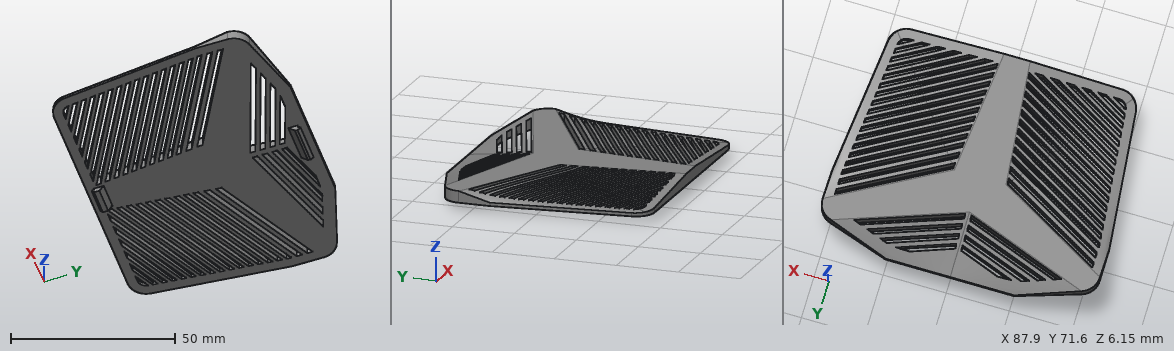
import cadquery as cq
import math

width = 87.9
depth = 71.6
total_height = 6.15
half_width = width / 2
half_depth = depth / 2
crown_height = 3.8
rim_height = 1.1
corner_radius = 6.0

rear_edge_half = 20.4
rear_corner_y = 28.1
side_bend_y = 13.6
front_half = 38.8

spine_front_half = 4.1
fork_x = 8.2
fork_y = 3.6
arm_side_y = 23.6
rear_fork_y = 15.1

spine_gap = 0.5
border = 3.2
rear_border = 4.0
ridge_gap = 1.0
wide_slot = 1.5
wide_pitch = 3.0
narrow_slot = 1.2
narrow_span = 36.65
wide_side_count = 2
narrow_side_count = 16
narrow_pitch = narrow_span / (narrow_side_count - 1)
rear_count = 4

hook_half = 6.0
hook_depth = total_height - crown_height
hook_root_rear_y = 33.0
hook_root_front_y = 30.0
hook_root_height = 0.4
hook_tip_y = 33.9
hook_tip_drop = 1.4
hook_toe_y = 32.1
hook_toe_drop = 2.1

clip_half = 4.0
clip_depth = 1.85
clip_front_y = -33.4
clip_root_y = -30.2
clip_foot_y = -31.6
snap_reach = 0.7
snap_top_drop = 0.3
snap_bottom_drop = 1.7

rear_slope = math.atan2(half_depth - rear_corner_y, half_width - rear_edge_half)
rear_tangent = corner_radius * math.tan((math.pi / 2 - rear_slope) / 2)
arm_rear_x = half_width - rear_tangent * math.cos(rear_slope)
arm_rear_y = rear_corner_y + rear_tangent * math.sin(rear_slope)


def mirrored(shape):
    """Left-hand twin of a right-hand shape."""
    return shape.mirror("YZ")


def prism(outline):
    """Full-height prism standing on the cover's underside."""
    return cq.Workplane("XY").polyline(outline).close().extrude(crown_height)


def line_offset(start, end, distance):
    """Move the line start-end sideways, to its left when distance is positive."""
    length = math.dist(start, end)
    nx = -(end[1] - start[1]) / length
    ny = (end[0] - start[0]) / length
    shift = (nx * distance, ny * distance)
    return tuple((p[0] + shift[0], p[1] + shift[1]) for p in (start, end))


def crossing(line_a, line_b):
    """Intersection point of two infinite lines."""
    (ax, ay), (bx, by) = line_a
    (cx, cy), (dx, dy) = line_b
    ux, uy = bx - ax, by - ay
    vx, vy = dx - cx, dy - cy
    t = ((cx - ax) * vy - (cy - ay) * vx) / (ux * vy - uy * vx)
    return (ax + t * ux, ay + t * uy)


def inset_polygon(corners, insets):
    """Counter-clockwise polygon with every edge moved inwards by its own inset."""
    count = len(corners)
    lines = [line_offset(corners[i], corners[(i + 1) % count], insets[i]) for i in range(count)]
    return [crossing(lines[i - 1], lines[i]) for i in range(count)]


rear_end = (rear_edge_half, half_depth)
rear_corner = (half_width, rear_corner_y)
side_bend = (half_width, side_bend_y)
front_corner = (front_half, -half_depth)
fork = (fork_x, fork_y)
arm_side = (half_width, arm_side_y)
arm_rear = (arm_rear_x, arm_rear_y)
rear_fork = (0.0, rear_fork_y)
rear_middle = (0.0, half_depth)
spine_front = (spine_front_half, -half_depth)


def make_blank():
    """Full-height plate with the cover's outline and four rounded corners."""
    right = [rear_end, rear_corner, side_bend, front_corner]
    left = [(-x, y) for x, y in reversed(right)]
    blank = prism(right + left)
    for side in (-1, 1):
        for corner in (rear_corner, front_corner):
            middle = (side * corner[0], corner[1], crown_height / 2)
            upright_edge = cq.selectors.NearestToPointSelector(middle)
            blank = blank.edges(upright_edge).fillet(corner_radius)
    return blank


def at(point, z):
    """Plan point raised to height z."""
    return cq.Vector(point[0], point[1], z)


def volume_above(face):
    """Space swept upwards from a face, past the top of the cover."""
    return cq.Workplane(obj=cq.Solid.extrudeLinear(face, cq.Vector(0, 0, crown_height)))


def ruled_panel(crown_line, rim_line):
    """Space above the ruled face from a line on the crown to a line on the rim."""
    upper = cq.Edge.makeLine(at(crown_line[0], crown_height), at(crown_line[1], crown_height))
    lower = cq.Edge.makeLine(at(rim_line[0], rim_height), at(rim_line[1], rim_height))
    return volume_above(cq.Face.makeRuledSurface(upper, lower))


def front_panel():
    """Space above the flat triangular panel beside the spine leg."""
    corners = [at(fork, crown_height), at(spine_front, crown_height), at(front_corner, rim_height)]
    wire = cq.Wire.makePolygon(corners, close=True)
    return volume_above(cq.Face.makeFromWires(wire))


def slot_set(start, end, first_offset, count, width_across, pitch):
    """Through strips parallel to start-end, stepping to the left of that line."""
    length = math.dist(start, end)
    angle = math.degrees(math.atan2(end[1] - start[1], end[0] - start[0]))
    strips = []
    for i in range(count):
        strip = (
            cq.Workplane("XY")
            .center(*start)
            .transformed(rotate=(0, 0, angle))
            .center(length / 2, first_offset + i * pitch + width_across / 2)
            .rect(2 * length, width_across)
            .extrude(crown_height)
        )
        strips.append(strip.val())
    return cq.Workplane(obj=cq.Compound.makeCompound(strips))


def side_slots():
    """Two wide slots next to the arm, then narrow ones down to the front corner."""
    corners = [fork, spine_front, front_corner, side_bend, arm_side]
    insets = [spine_gap, border, border, border, spine_gap]
    window_corners = inset_polygon(corners, insets)
    window = prism(window_corners)
    inner_corner = (*window_corners[2], crown_height / 2)
    upright_edge = cq.selectors.NearestToPointSelector(inner_corner)
    window = window.edges(upright_edge).fillet(corner_radius - border)
    narrow_start = spine_gap + wide_side_count * wide_pitch
    wide = slot_set(arm_side, fork, spine_gap, wide_side_count, wide_slot, wide_pitch)
    narrow = slot_set(arm_side, fork, narrow_start, narrow_side_count, narrow_slot, narrow_pitch)
    return [window.intersect(wide), window.intersect(narrow)]


def rear_slots():
    """Wide slots beside the rear ridge, parallel to the arm's rear edge."""
    corners = [rear_fork, arm_rear, rear_end, rear_middle]
    insets = [spine_gap, rear_border, rear_border, ridge_gap]
    window = prism(inset_polygon(corners, insets))
    strips = slot_set(rear_fork, arm_rear, spine_gap, rear_count, wide_slot, wide_pitch)
    return [window.intersect(strips)]


def make_cover():
    cover = make_blank()
    cuts = [
        ruled_panel((fork, arm_side), (front_corner, side_bend)),
        front_panel(),
        ruled_panel((rear_fork, arm_rear), (rear_middle, rear_end)),
    ]
    cuts += side_slots() + rear_slots()
    for cut in cuts:
        cover = cover.cut(cut).cut(mirrored(cut))
    return cover


def bar(profile, half_length):
    """Bar along X from a (y, z) profile, centred on the YZ plane."""
    return cq.Workplane("YZ").polyline(profile).close().extrude(half_length, both=True)


def make_rear_hook():
    profile = [
        (hook_root_front_y, 0),
        (hook_root_rear_y, 0),
        (hook_root_rear_y, -hook_root_height),
        (hook_tip_y, -hook_tip_drop),
        (hook_root_rear_y, -hook_depth),
        (hook_toe_y, -hook_toe_drop),
    ]
    return bar(profile, hook_half)


def make_front_clip():
    block = [
        (clip_root_y, 0),
        (clip_front_y, 0),
        (clip_front_y, -clip_depth),
        (clip_foot_y, -clip_depth),
    ]
    snap_ridge = [
        (clip_front_y, -snap_top_drop),
        (clip_front_y - snap_reach, -(snap_top_drop + snap_bottom_drop) / 2),
        (clip_front_y, -snap_bottom_drop),
    ]
    return bar(block, clip_half).union(bar(snap_ridge, clip_half))


cover = make_cover().union(make_rear_hook())
front_clip = make_front_clip()
result = cq.Compound.makeCompound([cover.val(), front_clip.val()])